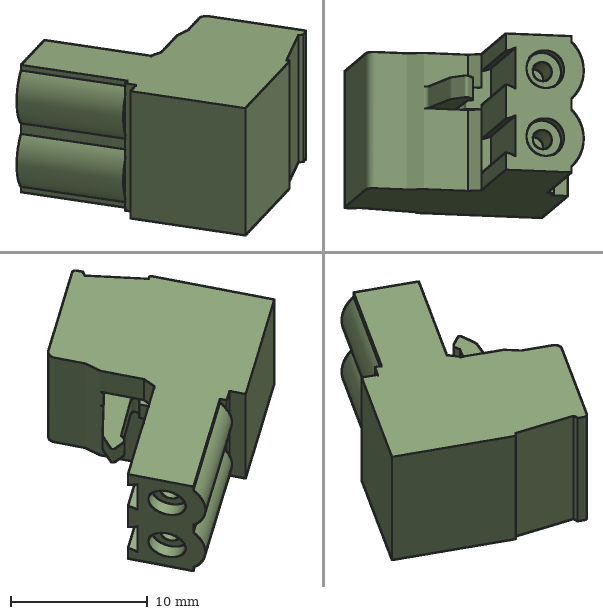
import cadquery as cq


length = 18.2
height = 15.0
width = 10.15

plug_length = 8.34
plug_top = 6.66
plug_bottom = 1.73
shoulder_bottom = 1.22

contact_pitch = 5.06
contact_y = 3.71
contact_z = [width / 2 - contact_pitch / 2, width / 2 + contact_pitch / 2]
barrel_radius = 2.9
socket_radius = 1.4
socket_depth = 1.0
pin_hole_radius = 0.71
pin_hole_depth = 4.0

groove_depth = 0.71
groove_mouth_half_width = 1.25
groove_floor_half_width = 1.51
groove_flank_radius = 2.18

body_left = 9.21
latch_wall = 8.8
latch_wall_bottom = 7.57
latch_wall_top = 10.85
upper_wall_bottom = 12.08
upper_left_radius = 0.55
upper_right = 17.42
upper_right_radius = 0.27
lip_bottom = 14.23
ramp_top_x = 17.1
ramp_top_y = 14.01
ramp_bottom_x = 17.9
step_y = 9.41
step_radius = 0.18

latch_thickness = 1.62
latch_bottom_z = 6.02
arm_root = (8.59, 10.54)
arm_root_radius = 0.31
arm_shoulder = (4.9, 9.75)
arm_shoulder_radius = 0.73
arm_underside = 8.5
hook_tip = (3.73, 8.74)
hook_tip_radius = 0.2
hook_barb = (4.85, 7.97)
hook_barb_radius = 0.33
hook_heel = (5.25, 8.43)
foot_top = 7.85
foot_radius = 0.11


def build_body():
    """Housing profile, including the shoulder behind the plug."""
    return (
        cq.Workplane("XY")
        .moveTo(plug_length, shoulder_bottom)
        .lineTo(body_left, shoulder_bottom)
        .lineTo(body_left, 0)
        .lineTo(length, 0)
        .lineTo(length, step_y - step_radius)
        .radiusArc((length - step_radius, step_y), -step_radius)
        .lineTo(ramp_bottom_x, step_y)
        .lineTo(ramp_top_x, ramp_top_y)
        .lineTo(upper_right, lip_bottom)
        .lineTo(upper_right, height - upper_right_radius)
        .radiusArc((upper_right - upper_right_radius, height), -upper_right_radius)
        .lineTo(body_left + upper_left_radius, height)
        .radiusArc((body_left, height - upper_left_radius), -upper_left_radius)
        .lineTo(body_left, upper_wall_bottom)
        .lineTo(latch_wall, latch_wall_top)
        .lineTo(latch_wall, latch_wall_bottom)
        .lineTo(plug_length, plug_top)
        .close()
        .extrude(width)
    )


def along_x(depth, y, z, radius):
    """Cylinder that starts at the mating face and runs along X."""
    return cq.Workplane("YZ").center(y, z).circle(radius).extrude(depth)


def build_groove(z):
    """Undercut keying groove above one contact."""
    floor_y = plug_top - groove_depth
    return (
        cq.Workplane("YZ")
        .moveTo(plug_top, z - groove_mouth_half_width)
        .lineTo(plug_top, z + groove_mouth_half_width)
        .radiusArc((floor_y, z + groove_floor_half_width), groove_flank_radius)
        .lineTo(floor_y, z - groove_floor_half_width)
        .radiusArc((plug_top, z - groove_mouth_half_width), groove_flank_radius)
        .close()
        .extrude(plug_length)
    )


def build_plug():
    """Plug block with a round barrel bulging below each contact."""
    plug = cq.Workplane("XY").box(plug_length, plug_top - plug_bottom, width, centered=False)
    plug = plug.translate((0, plug_bottom, 0))
    below_contacts = cq.Workplane("XY").box(plug_length, contact_y, width, centered=False)
    for z in contact_z:
        barrel = along_x(plug_length, contact_y, z, barrel_radius)
        plug = plug.union(barrel.intersect(below_contacts))
    for z in contact_z:
        plug = plug.cut(build_groove(z))
    return plug


def build_latch():
    """Hooked latch arm and the foot below its relief notch."""
    notch_radius = (arm_underside - foot_top) / 2
    notch_x = latch_wall - notch_radius
    latch = (
        cq.Workplane("XY")
        .moveTo(body_left, latch_wall_top)
        .lineTo(latch_wall, latch_wall_top)
        .radiusArc(arm_root, arm_root_radius)
        .lineTo(*arm_shoulder)
        .lineTo(*hook_tip)
        .lineTo(*hook_barb)
        .lineTo(*hook_heel)
        .lineTo(notch_x, arm_underside)
        .threePointArc((latch_wall, arm_underside - notch_radius), (notch_x, foot_top))
        .lineTo(plug_length, foot_top)
        .lineTo(plug_length, plug_top)
        .lineTo(body_left, plug_top)
        .close()
        .extrude(latch_thickness)
    )
    roundings = [
        (arm_shoulder, arm_shoulder_radius),
        (hook_tip, hook_tip_radius),
        (hook_barb, hook_barb_radius),
        ((plug_length, foot_top), foot_radius),
    ]
    for (x, y), radius in roundings:
        corner = cq.NearestToPointSelector((x, y, latch_thickness / 2))
        latch = latch.edges("|Z").edges(corner).fillet(radius)
    return latch.translate((0, 0, latch_bottom_z))


def build_contact_holes():
    """Stepped hole of each contact: a wide socket, then a narrower pin hole."""
    holes = cq.Workplane("YZ")
    for z in contact_z:
        holes = holes.union(along_x(socket_depth, contact_y, z, socket_radius))
        holes = holes.union(along_x(pin_hole_depth, contact_y, z, pin_hole_radius))
    return holes


result = build_body().union(build_plug()).union(build_latch()).cut(build_contact_holes())